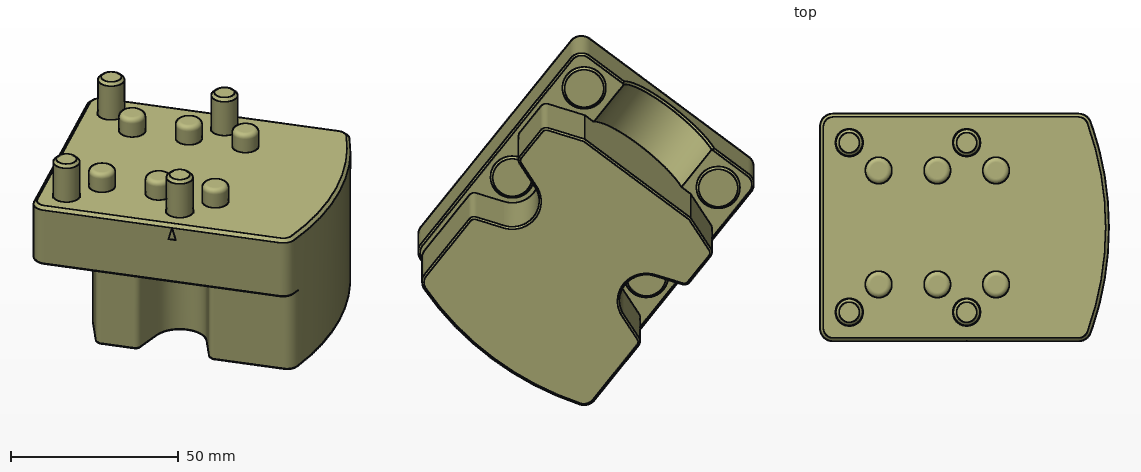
import cadquery as cq
import math

length = 86.25
bow_radius = 92.6
corner_radius = 4.0

plate_width = 68.0
plate_bottom = 26.05
plate_top = 46.0
top_chamfer = 1.0
bottom_chamfer = 0.6

block_width = 64.0
block_start = 15.35
block_edge_radius = 2.0
block_top = plate_bottom + bottom_chamfer

arch_radius = 17.8
arch_crown = 37.35
arch_chamfer = 0.7

contact_pitch = 17.5
half_pitch = contact_pitch / 2
contact_y = 17.0
screw_y = 25.3
contact_xs = [2 * half_pitch, 4 * half_pitch, 6 * half_pitch]
screw_xs = [half_pitch, 5 * half_pitch]

contact_diameter = 7.9
contact_top = 52.1
contact_round = 1.5
bar_width = 5.2
bar_top = 43.1
bar_bottom = 39.25

screw_diameter = contact_diameter
screw_hole_diameter = 8.3
screw_top = 58.5
screw_tip_chamfer = 0.95
head_diameter = 13.0
head_height = 8.0
head_bottom = 25.45
head_chamfer = 0.7

slot_radius = 8.0
flare_angle = math.radians(20)

mark_width = 2.2
mark_height = 4.05
mark_depth = 0.2


def bowed_outline(start_x, width, bottom, height):
    """Prism with a flat -X end and an arc for its +X end."""
    half = width / 2
    bow_center = length - bow_radius
    corner_x = bow_center + math.sqrt(bow_radius**2 - half**2)
    return (
        cq.Workplane("XY", origin=(0, 0, bottom))
        .moveTo(start_x, -half)
        .lineTo(corner_x, -half)
        .threePointArc((length, 0), (corner_x, half))
        .lineTo(start_x, half)
        .close()
        .extrude(height)
    )


def make_plate():
    plate = bowed_outline(0, plate_width, plate_bottom, plate_top - plate_bottom)
    plate = plate.edges("|Z").fillet(corner_radius)
    plate = plate.faces(">Z").edges().chamfer(top_chamfer)
    return plate.faces("<Z").edges().chamfer(bottom_chamfer)


def flare_edge_x(screw_x, y):
    """X of a slot's +X flare wall, at a distance y from the middle plane of the housing."""
    return screw_x + slot_radius / math.cos(flare_angle) + (y - screw_y) * math.tan(flare_angle)


def access_slot(screw_x, side):
    """Cutter for a flared slot whose walls run tangent to its round end."""
    outer_y = plate_width / 2
    tangent_dx = slot_radius * math.cos(flare_angle)
    tangent_y = screw_y - slot_radius * math.sin(flare_angle)
    outer_dx = flare_edge_x(0, outer_y)
    return (
        cq.Workplane("XY")
        .moveTo(screw_x - outer_dx, side * outer_y)
        .lineTo(screw_x - tangent_dx, side * tangent_y)
        .threePointArc((screw_x, side * (screw_y - slot_radius)), (screw_x + tangent_dx, side * tangent_y))
        .lineTo(screw_x + outer_dx, side * outer_y)
        .close()
        .extrude(block_top)
    )


def corner_facet(side):
    """Cutter for the slanted -X corner, in line with the flare of the first screw's slot."""
    outer_y = plate_width / 2
    outer_x = flare_edge_x(screw_xs[0], outer_y)
    inner_y = screw_y + (block_start - flare_edge_x(screw_xs[0], screw_y)) / math.tan(flare_angle)
    return (
        cq.Workplane("XY")
        .moveTo(block_start, side * inner_y)
        .lineTo(outer_x, side * outer_y)
        .lineTo(block_start, side * outer_y)
        .close()
        .extrude(block_top)
    )


def make_block():
    block = bowed_outline(block_start, block_width, 0, block_top)
    for side in (-1, 1):
        block = block.cut(corner_facet(side)).cut(access_slot(screw_xs[1], side))
    for side_face in ("<Y", ">Y"):
        block = block.faces(side_face).edges("|Z").edges("not >X").fillet(block_edge_radius)
        block = block.faces(side_face).edges("|Z").edges(">X").fillet(corner_radius)
    return block.faces("<Z").edges().chamfer(bottom_chamfer)


def arch_recess():
    """Cutter for the round-topped recess, with a chamfered mouth on the -X face."""
    plane = cq.Workplane("YZ", origin=(0, 0, arch_crown - arch_radius))
    barrel = plane.circle(arch_radius).extrude(block_start)
    mouth = plane.circle(arch_radius + arch_chamfer).extrude(arch_chamfer, taper=45)
    return barrel.union(mouth)


def index_mark():
    """Cutter for the triangular mark, pointing up at the top chamfer."""
    tip_z = plate_top - top_chamfer
    mark_x = screw_xs[1]
    return (
        cq.Workplane("XZ", origin=(0, -plate_width / 2, 0))
        .moveTo(mark_x, tip_z)
        .lineTo(mark_x - mark_width / 2, tip_z - mark_height)
        .lineTo(mark_x + mark_width / 2, tip_z - mark_height)
        .close()
        .extrude(-mark_depth)
    )


def cylinder(x, y, bottom, top, diameter):
    return cq.Workplane("XY", origin=(x, y, bottom)).circle(diameter / 2).extrude(top - bottom)


def make_bridge(x):
    bridge = (
        cq.Workplane("XY", origin=(x, 0, bar_bottom))
        .rect(bar_width, 2 * contact_y)
        .extrude(bar_top - bar_bottom)
    )
    for side in (-1, 1):
        pin = cylinder(x, side * contact_y, bar_bottom, contact_top, contact_diameter)
        bridge = bridge.union(pin.faces(">Z").edges().fillet(contact_round))
    return bridge


def make_screw(x, y):
    head = cylinder(x, y, head_bottom, head_bottom + head_height, head_diameter)
    head = head.faces("<Z").edges().chamfer(head_chamfer)
    shank = cylinder(x, y, head_bottom + head_height, screw_top, screw_diameter)
    return head.union(shank.faces(">Z").edges().chamfer(screw_tip_chamfer))


def screw_hole(x, y):
    """Cutter for a clearance hole with a counterbore that seats the head."""
    head_seat = head_bottom + head_height
    counterbore = cylinder(x, y, head_bottom, head_seat, head_diameter)
    return counterbore.union(cylinder(x, y, head_seat, plate_top, screw_hole_diameter))


screw_places = [(x, side * screw_y) for x in screw_xs for side in (-1, 1)]
bridges = [make_bridge(x) for x in contact_xs]
screws = [make_screw(x, y) for x, y in screw_places]

housing = make_plate().union(make_block()).cut(arch_recess()).cut(index_mark())
for x, y in screw_places:
    housing = housing.cut(screw_hole(x, y))
for bridge in bridges:
    housing = housing.cut(bridge)

result = cq.Compound.makeCompound([
    housing.val(),
    *[bridge.val() for bridge in bridges],
    *[screw.val() for screw in screws],
])